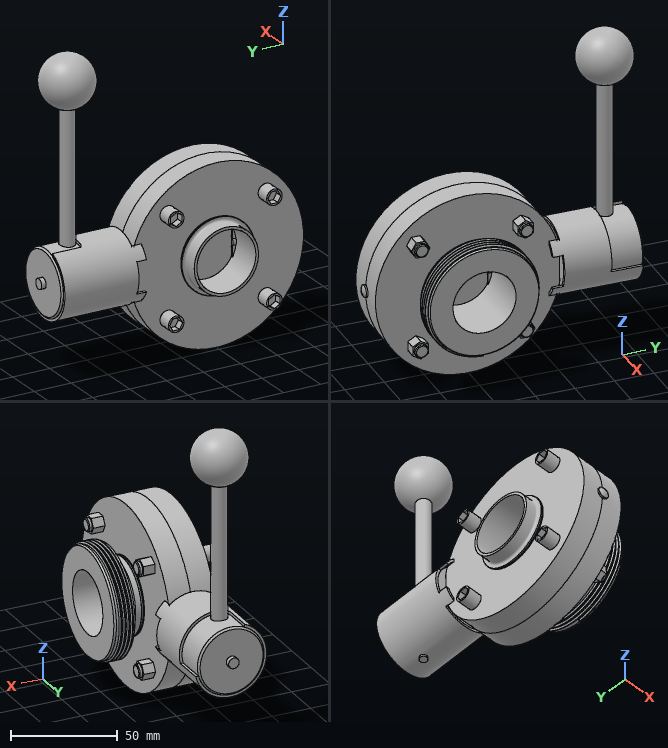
import cadquery as cq
import math


flange_radius = 47.0
flange_half_width = 12.0
bore_radius = 16.0

collar_radius = 19.8
neck_radius = 19.5
neck_length = 0.6
collar_end = 13.7
weld_radius = 17.4
weld_end = 21.0
weld_fillet = 1.1

body_radius = 19.6
cone_start = 16.7
cone_end = 21.3
thread_radius = 29.0
thread_core_radius = 28.0
thread_start = 22.2
thread_length = 8.0
thread_turns = 4
thread_pitch = thread_length / thread_turns
ridge_half_foot = 0.8
ridge_half_crest = 0.2
ridge_foot_depth = 0.2
end_chamfer_start = 30.9
thread_end = 32.0
end_radius = 27.5

screw_offset = 26.5
screw_head_radius = 4.2
screw_head_end = 20.0
socket_width = 6.1
socket_depth = 4.0
nut_width = 8.0
nut_end = 18.2
screw_tip_radius = 3.4
screw_tip_end = 20.0
screw_tip_chamfer = 0.5

disc_half_thickness = 1.6
pad_half_thickness = 2.5
disc_half_width = 14.0
stem_radius = 3.0
stem_tail_radius = 2.7
stem_tail_end = 89.4
stem_head_rim = 0.8
stem_head_height = 2.0

sleeve_radius = 18.8
sleeve_start = 46.0
sleeve_end = 86.1
tab_end = 40.9
tab_half_gap = 8.2
window_left = 7.2
window_bottom = 4.5
window_fillet = 2.0
stud_radius = 2.1
stud_bottom = 20.0

core_radius = 17.4
core_start = sleeve_start
core_end = 87.0
core_chamfer = 1.0
lever_y = 73.9
rod_radius = 4.0
ball_radius = 14.0
ball_top = 114.0


def x_cylinder(radius, start, end):
    """Cylinder on the pipe axis."""
    return cq.Workplane("YZ").workplane(offset=start).circle(radius).extrude(end - start)


def y_cylinder(radius, start, end):
    """Cylinder on the stem axis."""
    return cq.Workplane("XZ").workplane(offset=-start).circle(radius).extrude(start - end)


def revolve_about_pipe(outline):
    """Revolve an outline of (x, radius) points about the pipe axis."""
    return cq.Workplane("XY").polyline(outline).close().revolve(360, (0, 0, 0), (1, 0, 0))


def hexagon(width, start, end):
    """Hexagonal bar along X, width across flats, with two flats facing up and down."""
    across_corners = width / math.cos(math.pi / 6)
    return cq.Workplane("YZ").workplane(offset=start).polygon(6, across_corners).extrude(end - start)


def around_flange(fastener):
    """Four copies of a fastener built on the pipe axis, each turned 90 degrees from the last."""
    first = fastener.translate((0, -screw_offset, screw_offset))
    return [first.rotate((0, 0, 0), (1, 0, 0), 90 * turn) for turn in range(4)]


def disc_width_block():
    """Block as wide along the stem as the disc, and larger than the bore in height."""
    return cq.Workplane("XY").box(3 * pad_half_thickness, 2 * disc_half_width, 3 * bore_radius)


def bore_pads(start, end):
    """Flat-faced pads in the bore where the stem enters, on both sides of the disc."""
    return x_cylinder(bore_radius, start, end).cut(disc_width_block())


def screw_head():
    head = x_cylinder(screw_head_radius, -screw_head_end, -flange_half_width)
    socket = hexagon(socket_width, -screw_head_end, -screw_head_end + socket_depth)
    return head.cut(socket)


def nut_and_screw_tip():
    nut = hexagon(nut_width, flange_half_width, nut_end)
    tip = x_cylinder(screw_tip_radius, nut_end, screw_tip_end).faces(">X").chamfer(screw_tip_chamfer)
    return nut.union(tip)


def flange_disc():
    """Solid disc that both flange halves fill together."""
    return x_cylinder(flange_radius, -flange_half_width, flange_half_width)


def stem_bore():
    through = y_cylinder(stem_radius, -flange_radius - stem_head_height, flange_radius)
    return through.cut(disc_width_block())


def make_left_flange():
    """Flange half with the weld end, the screw heads and half of each bore pad."""
    body = x_cylinder(flange_radius, -flange_half_width, 0)
    body = body.union(x_cylinder(neck_radius, -flange_half_width - neck_length, -flange_half_width))
    body = body.union(x_cylinder(collar_radius, -collar_end, -flange_half_width - neck_length))
    fillet_outline = (
        cq.Workplane("XY")
        .moveTo(-weld_end, 0)
        .lineTo(-weld_end, weld_radius)
        .lineTo(-collar_end - weld_fillet, weld_radius)
        .radiusArc((-collar_end, weld_radius + weld_fillet), -weld_fillet)
        .lineTo(-collar_end, 0)
        .close()
    )
    body = body.union(fillet_outline.revolve(360, (0, 0, 0), (1, 0, 0)))
    body = body.cut(x_cylinder(bore_radius, -weld_end, 0))
    body = body.union(bore_pads(-pad_half_thickness, 0))
    for head in around_flange(screw_head()):
        body = body.union(head)
    return body.cut(stem_bore())


def thread_ridge():
    """Trapezoid ridge that winds along the pipe axis, its foot sunk into the thread core."""
    foot_radius = thread_core_radius - ridge_foot_depth
    path = cq.Wire.makeHelix(thread_pitch, thread_length, foot_radius)
    profile = cq.Workplane("XZ").polyline([
        (foot_radius, ridge_half_foot),
        (thread_radius, ridge_half_crest),
        (thread_radius, -ridge_half_crest),
        (foot_radius, -ridge_half_foot),
    ]).close()
    ridge = profile.sweep(cq.Workplane(obj=path), isFrenet=True)
    return ridge.rotate((0, 0, 0), (0, 1, 0), 90).translate((thread_start, 0, 0))


def make_right_flange():
    """Flange half with the threaded end, the nuts and half of each bore pad."""
    threaded_end = revolve_about_pipe([
        (0, 0),
        (0, neck_radius),
        (flange_half_width + neck_length, neck_radius),
        (flange_half_width + neck_length, collar_radius),
        (collar_end, collar_radius),
        (collar_end, body_radius),
        (cone_start, body_radius),
        (cone_end, thread_core_radius),
        (end_chamfer_start, thread_core_radius),
        (thread_end, end_radius),
        (thread_end, 0),
    ])
    body = x_cylinder(flange_radius, 0, flange_half_width).union(threaded_end).union(thread_ridge())
    body = body.cut(x_cylinder(bore_radius, 0, thread_end))
    body = body.union(bore_pads(0, pad_half_thickness))
    for nut in around_flange(nut_and_screw_tip()):
        body = body.union(nut)
    return body.cut(stem_bore())


def make_disc():
    """Disc in one piece with its stem, which runs from a domed head to the end of the core."""
    plate = x_cylinder(bore_radius, -disc_half_thickness, disc_half_thickness)
    disc = plate.intersect(disc_width_block())
    front_stem = y_cylinder(stem_radius, -flange_radius, -disc_half_width)
    back_stem = y_cylinder(stem_radius, disc_half_width, flange_radius)
    tail = y_cylinder(stem_tail_radius, flange_radius, stem_tail_end)
    rim_y = -flange_radius - stem_head_rim
    tip_y = -flange_radius - stem_head_height
    dome_height = stem_head_height - stem_head_rim
    dome_radius = (stem_radius ** 2 + dome_height ** 2) / (2 * dome_height)
    head = (
        cq.Workplane("XY")
        .moveTo(0, -flange_radius)
        .lineTo(stem_radius, -flange_radius)
        .lineTo(stem_radius, rim_y)
        .radiusArc((0, tip_y), dome_radius)
        .close()
        .revolve(360, (0, 0, 0), (0, 1, 0))
    )
    return disc.union(front_stem).union(back_stem).union(tail).union(head)


def make_lever():
    """Turning core with the rod and the ball knob."""
    core = y_cylinder(core_radius, core_start, core_end).faces(">Y").chamfer(core_chamfer)
    ball_z = ball_top - ball_radius
    rod = cq.Workplane("XY").center(0, lever_y).circle(rod_radius).extrude(ball_z)
    ball = cq.Workplane("XY").sphere(ball_radius).translate((0, lever_y, ball_z))
    lever = core.union(rod).union(ball)
    lever = lever.cut(flange_disc()).cut(stem_bore())
    return lever.cut(y_cylinder(stem_tail_radius, core_start, core_end))


def lever_window():
    """Opening over the top and +X side of the sleeve that lets the rod swing a quarter turn."""
    reach = 2 * sleeve_radius
    start_y = lever_y - rod_radius
    block = cq.Workplane("XY").box(
        window_left + reach, sleeve_end - start_y, window_bottom + reach, centered=False
    )
    block = block.edges("|Z and <X and <Y").fillet(window_fillet)
    return block.translate((-window_left, start_y, -window_bottom))


def make_sleeve():
    """Fixed sleeve around the core, with tabs that straddle the flange rim."""
    sleeve = y_cylinder(sleeve_radius, tab_end, sleeve_end)
    tab_gap_length = sleeve_start - tab_end
    flange_gap = cq.Workplane("XY").box(2 * flange_half_width, tab_gap_length, 2 * sleeve_radius)
    side_gap = cq.Workplane("XY").box(2 * sleeve_radius, tab_gap_length, 2 * tab_half_gap)
    gaps = flange_gap.union(side_gap).translate((0, tab_end + tab_gap_length / 2, 0))
    sleeve = sleeve.cut(gaps).cut(flange_disc()).cut(lever_window())
    stud = (
        cq.Workplane("XY")
        .workplane(offset=-stud_bottom)
        .center(0, lever_y)
        .circle(stud_radius)
        .extrude(stud_bottom - core_radius)
    )
    return sleeve.union(stud).cut(y_cylinder(core_radius, tab_end, sleeve_end))


left_flange = make_left_flange()
right_flange = make_right_flange()
disc = make_disc()
lever = make_lever()
sleeve = make_sleeve()

result = cq.Compound.makeCompound([
    left_flange.val(),
    right_flange.val(),
    disc.val(),
    lever.val(),
    sleeve.val(),
])